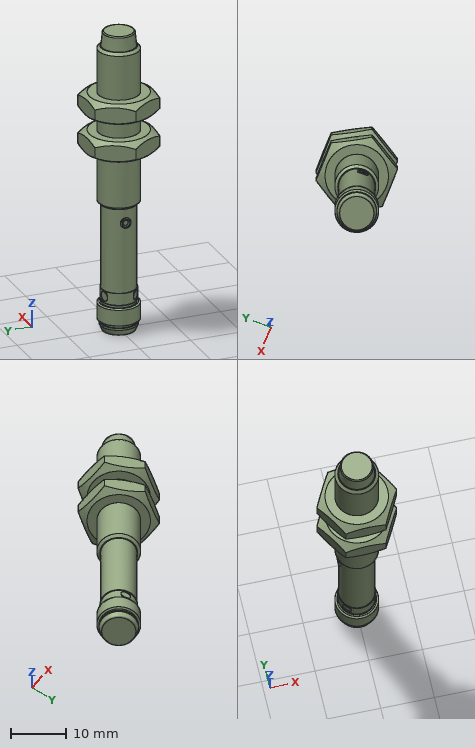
import cadquery as cq
import math

total_height = 59.1

cap_face_diameter = 5.6
cap_top_diameter = 6.0
cap_edge_height = 0.25
cap_foot_diameter = 6.55

barrel_diameter = 8.0
barrel_end_diameter = 6.9
barrel_top = 56.2
barrel_bottom = 25.05
barrel_chamfer_height = 0.55

tube_diameter = 6.6
ring_diameter = 6.9
ring_top = 8.4
ring_bottom = 5.9
ring_chamfer_height = 0.2
collar_diameter = barrel_diameter
collar_top = 5.5
collar_bottom = 2.0
collar_end_diameter = 7.2
collar_chamfer_height = 0.2
lip_diameter = 7.2
lip_top = 1.55
lip_height = 0.35
tip_diameter = 6.4
tip_face_diameter = 6.2
tip_chamfer_height = 0.2

nut_across_flats = 13.0
nut_across_corners = nut_across_flats / math.cos(math.radians(30))
nut_thickness = 4.0
nut_face_diameter = 11.5
nut_chamfer_angle = 30
nut_cone_overrun = 0.3
nut_rotation = 2
nut_bottoms = (42.95, 35.45)

lamp_height = 22.3
lamp_diameter = 2.0
lamp_angle = 180
lamp_recess_diameter = 1.5
lamp_floor_diameter = 1.0
lamp_reach = 3.5
lamp_recess_depth = 0.2

spot_diameter = 1.9
spot_count = 3
spot_first_angle = 225
spot_reach = 3.25
spot_height = (ring_top + ring_bottom + ring_chamfer_height) / 2


def make_body():
    """Turned body: stepped half profile, listed from the bottom up as (diameter, height)."""
    steps = [
        (0, 0),
        (tip_face_diameter, 0),
        (tip_diameter, tip_chamfer_height),
        (lip_diameter, lip_top - lip_height),
        (lip_diameter, lip_top),
        (tube_diameter, lip_top),
        (tube_diameter, collar_bottom),
        (collar_end_diameter, collar_bottom),
        (collar_diameter, collar_bottom + collar_chamfer_height),
        (collar_diameter, collar_top - collar_chamfer_height),
        (collar_end_diameter, collar_top),
        (tube_diameter, collar_top),
        (tube_diameter, ring_bottom),
        (ring_diameter, ring_bottom + ring_chamfer_height),
        (ring_diameter, ring_top),
        (tube_diameter, ring_top),
        (tube_diameter, barrel_bottom),
        (barrel_end_diameter, barrel_bottom),
        (barrel_diameter, barrel_bottom + barrel_chamfer_height),
        (barrel_diameter, barrel_top - barrel_chamfer_height),
        (barrel_end_diameter, barrel_top),
        (cap_foot_diameter, barrel_top),
        (cap_top_diameter, total_height - cap_edge_height),
        (cap_face_diameter, total_height),
        (0, total_height),
    ]
    profile = [(diameter / 2, height) for diameter, height in steps]
    return cq.Workplane("XZ").polyline(profile).close().revolve(360, (0, 0), (0, 1))


def make_nut(bottom):
    """Hexagon nut with both faces chamfered by a cone."""
    corner = nut_across_corners / 2 + nut_cone_overrun
    face = nut_face_diameter / 2
    drop = (corner - face) * math.tan(math.radians(nut_chamfer_angle))
    envelope = (
        cq.Workplane("XZ")
        .polyline([
            (0, 0),
            (face, 0),
            (corner, drop),
            (corner, nut_thickness - drop),
            (face, nut_thickness),
            (0, nut_thickness),
        ])
        .close()
        .revolve(360, (0, 0), (0, 1))
    )
    hexagon = cq.Workplane("XY").polygon(6, nut_across_corners).extrude(nut_thickness)
    nut = hexagon.intersect(envelope)
    return nut.rotate((0, 0, 0), (0, 0, 1), nut_rotation).translate((0, 0, bottom))


def radial_cylinder(diameter, start, end, height, angle):
    """Cylinder pointing outward at an angle about Z, between two distances from the axis."""
    cylinder = cq.Workplane("YZ", origin=(start, 0, height)).circle(diameter / 2).extrude(end - start)
    return cylinder.rotate((0, 0, 0), (0, 0, 1), angle)


def add_lamp(body):
    """Low round lamp with a conical recess that narrows to a flat floor."""
    lamp = radial_cylinder(lamp_diameter, 0, lamp_reach, lamp_height, lamp_angle)
    recess = (
        cq.Workplane("YZ", origin=(lamp_reach - lamp_recess_depth, 0, lamp_height))
        .circle(lamp_floor_diameter / 2)
        .workplane(offset=lamp_recess_depth)
        .circle(lamp_recess_diameter / 2)
        .loft()
        .rotate((0, 0, 0), (0, 0, 1), lamp_angle)
    )
    return body.union(lamp).cut(recess)


def cut_spots(body):
    """Shallow flat spots spaced evenly around the marker ring."""
    for index in range(spot_count):
        angle = spot_first_angle + index * 360 / spot_count
        body = body.cut(radial_cylinder(spot_diameter, spot_reach, ring_diameter, spot_height, angle))
    return body


result = make_body()
for nut_bottom in nut_bottoms:
    result = result.union(make_nut(nut_bottom))
result = add_lamp(result)
result = cut_spots(result)